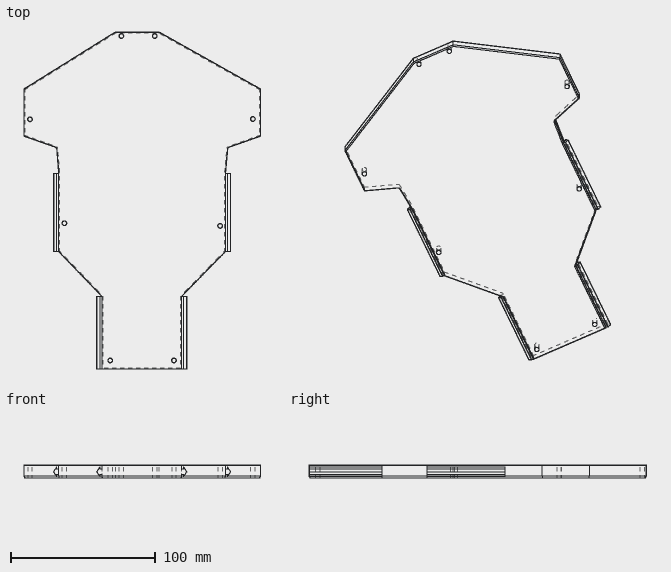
import cadquery as cq

length = 233.0
shoulder_width = 163.5
thickness = 9.0

rear_y = length / 2
tail_end_y = -length / 2
rear_left_x = -18.6
rear_right_x = 11.6
shoulder_rear_y = 77.0
shoulder_front_y = 44.5
armpit_half_width = 59.2
armpit_y = 36.5
armpit_radius = 1.6
chest_left_x = -57.8
chest_right_x = 57.5
chest_rear_y = 18.9
chest_front_y = -35.2
tail_left_x = -28.0
tail_right_x = 27.3
tail_rear_y = -66.2

bevel_inset = 0.7
bevel_height = 1.5

rail_mid_z = 4.5
neck_half_height = 1.9
barb_half_height = 3.15
barb_offset = 1.5
tip_offset = 3.5
rail_root = 1.2

hole_diameter = 3.0
hole_centres = [
    (-14.5, 113.7),
    (8.6, 113.7),
    (-77.5, 56.1),
    (76.5, 56.4),
    (-53.8, -15.5),
    (53.8, -17.5),
    (-22.1, -110.5),
    (22.0, -110.5),
]


def make_plate():
    """Plate with rounded armpits and a bevelled lower edge."""
    shoulder_x = shoulder_width / 2
    outline = [
        (rear_left_x, rear_y),
        (rear_right_x, rear_y),
        (shoulder_x, shoulder_rear_y),
        (shoulder_x, shoulder_front_y),
        (armpit_half_width, armpit_y),
        (chest_right_x, chest_rear_y),
        (chest_right_x, chest_front_y),
        (tail_right_x, tail_rear_y),
        (tail_right_x, tail_end_y),
        (tail_left_x, tail_end_y),
        (tail_left_x, tail_rear_y),
        (chest_left_x, chest_front_y),
        (chest_left_x, chest_rear_y),
        (-armpit_half_width, armpit_y),
        (-shoulder_x, shoulder_front_y),
        (-shoulder_x, shoulder_rear_y),
    ]
    plate = cq.Workplane("XY").polyline(outline).close().extrude(thickness)
    for side in (-1, 1):
        armpit = (side * armpit_half_width, armpit_y, thickness / 2)
        plate = plate.edges(cq.selectors.NearestToPointSelector(armpit)).fillet(armpit_radius)
    return plate.faces("<Z").edges().chamfer(bevel_inset, bevel_height)


def make_rail(side, wall_x, front_y, back_y):
    """Arrow-section rail on a side wall; side is the outward direction, -1 or 1."""
    section = [
        (-rail_root, neck_half_height),
        (barb_offset, neck_half_height),
        (barb_offset, barb_half_height),
        (tip_offset, 0),
        (barb_offset, -barb_half_height),
        (barb_offset, -neck_half_height),
        (-rail_root, -neck_half_height),
    ]
    points = [(wall_x + side * out, rail_mid_z + up) for out, up in section]
    return (
        cq.Workplane("XZ", origin=(0, front_y, 0))
        .polyline(points)
        .close()
        .extrude(front_y - back_y)
    )


result = make_plate()
for side, chest_x, tail_x in [(-1, chest_left_x, tail_left_x), (1, chest_right_x, tail_right_x)]:
    result = result.union(make_rail(side, chest_x, chest_front_y, chest_rear_y))
    result = result.union(make_rail(side, tail_x, tail_end_y, tail_rear_y))

holes = cq.Workplane("XY").pushPoints(hole_centres).circle(hole_diameter / 2).extrude(thickness)
result = result.cut(holes)